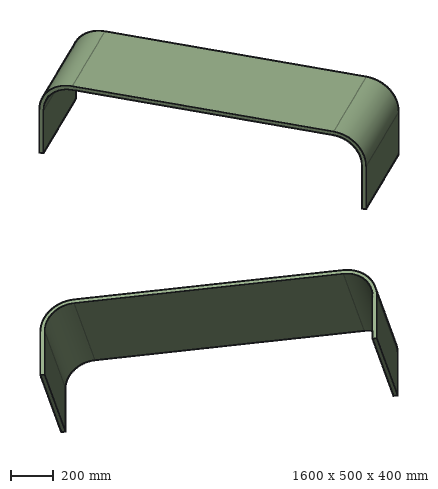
import cadquery as cq

length = 1600.0
depth = 500.0
height = 400.0
thickness = 20.0
outer_radius = 160.0


def arch_block(width, top, corner_radius):
    """Solid block standing on Z = 0 with its two upper long edges rounded."""
    return (
        cq.Workplane("XY")
        .box(width, depth, top, centered=(True, True, False))
        .edges("|Y and >Z")
        .fillet(corner_radius)
    )


outer = arch_block(length, height, outer_radius)
inner = arch_block(length - 2 * thickness, height - thickness, outer_radius - thickness)

result = outer.cut(inner)